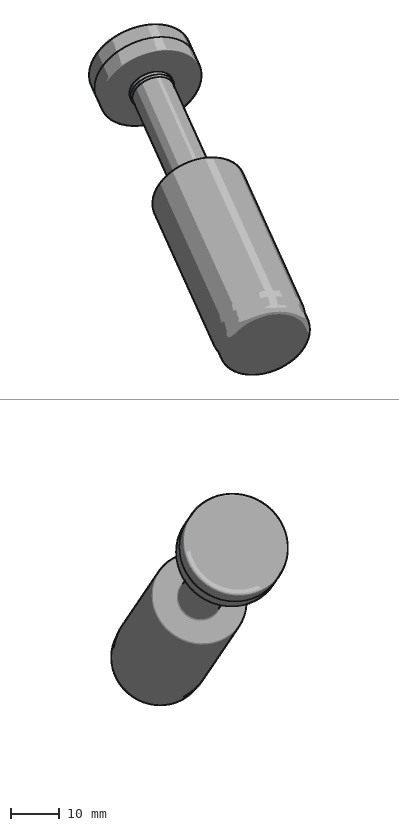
import cadquery as cq

length = 83
head_diameter = 22.0
head_end = 7.8
cap_thickness = 4.1

cap_edge_round = 0.5
dish_rim_diameter = 21.0
dish_floor_diameter = 19.3
dish_depth = 0.2

flange_edge_round = 0.25
stem_diameter = 9.0
collar_diameter = 9.5
collar_end = 8.6
collar_taper_end = 9.1
stem_fillet = 0.9

barrel_start = 38.0
barrel_diameter = 20.0
barrel_edge_round = 0.75
taper_start = 77.6
nose_start = 79.1
nose_diameter = 19.5
nose_round = 1.4


def revolve_about_x(profile):
    """Revolve a closed XY half-profile a full turn around the X axis."""
    return profile.close().revolve(360, (0, 0, 0), (1, 0, 0))


def make_cap():
    """Front disc of the head, with a shallow dish in its front face."""
    disc = cq.Workplane("YZ").circle(head_diameter / 2).extrude(cap_thickness)
    disc = disc.faces("<X").edges().fillet(cap_edge_round)
    dish = revolve_about_x(
        cq.Workplane("XY")
        .lineTo(0, dish_rim_diameter / 2)
        .lineTo(dish_depth, dish_floor_diameter / 2)
        .lineTo(dish_depth, 0)
    )
    return disc.cut(dish)


def make_plug():
    """Flange, stem and barrel, turned as one piece around X."""
    head_radius = head_diameter / 2
    collar_radius = collar_diameter / 2
    stem_radius = stem_diameter / 2
    barrel_radius = barrel_diameter / 2
    nose_radius = nose_diameter / 2
    return revolve_about_x(
        cq.Workplane("XY")
        .moveTo(cap_thickness, 0)
        .lineTo(cap_thickness, head_radius)
        .lineTo(head_end - flange_edge_round, head_radius)
        .radiusArc((head_end, head_radius - flange_edge_round), flange_edge_round)
        .lineTo(head_end, collar_radius)
        .lineTo(collar_end, collar_radius)
        .lineTo(collar_taper_end, stem_radius)
        .lineTo(barrel_start - stem_fillet, stem_radius)
        .radiusArc((barrel_start, stem_radius + stem_fillet), -stem_fillet)
        .lineTo(barrel_start, barrel_radius - barrel_edge_round)
        .radiusArc((barrel_start + barrel_edge_round, barrel_radius), barrel_edge_round)
        .lineTo(taper_start, barrel_radius)
        .lineTo(nose_start, nose_radius)
        .lineTo(length - nose_round, nose_radius)
        .radiusArc((length, nose_radius - nose_round), nose_round)
        .lineTo(length, 0)
    )


cap = make_cap()
plug = make_plug()
result = cq.Compound.makeCompound([cap.val(), plug.val()])